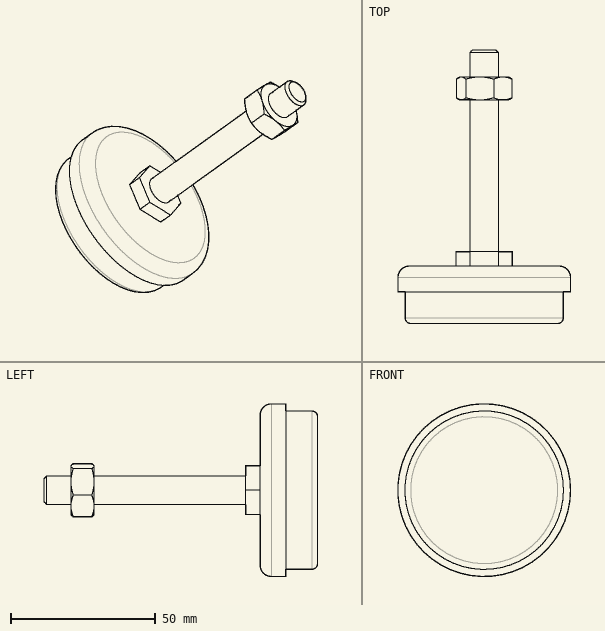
import cadquery as cq
import math


pad_diameter = 55.0
pad_height = 11.0
pad_edge_radius = 2.0
cap_diameter = 60.0
cap_height = 9.0
cap_edge_radius = 4.0
hexagon_height = 5.0
stud_diameter = 10.0
stud_length = 70.0
stud_chamfer = 1.0

across_flats = 17.0
nut_height = 8.0
nut_tip_distance = 9.42
nut_turn = 10.2
nut_chamfer_angle = 30.0

across_corners = across_flats / math.cos(math.radians(30))
cap_base = pad_height
hexagon_base = cap_base + cap_height
stud_base = hexagon_base + hexagon_height
stud_tip = stud_base + stud_length
nut_base = stud_tip - nut_tip_distance - nut_height


def plane_at(y):
    """Workplane at height y, facing +Y away from the floor."""
    return cq.Workplane(cq.Plane(origin=(0, y, 0), xDir=(1, 0, 0), normal=(0, 1, 0)))


def disc(base, diameter, height):
    return plane_at(base).circle(diameter / 2).extrude(height)


def hexagonal_prism(base, height):
    """Hexagon with two corners on the X axis."""
    return plane_at(base).polygon(6, across_corners).extrude(height)


def make_foot():
    pad = disc(0, pad_diameter, pad_height).faces("<Y").edges().fillet(pad_edge_radius)
    cap = disc(cap_base, cap_diameter, cap_height).faces(">Y").edges().fillet(cap_edge_radius)
    hexagon = hexagonal_prism(hexagon_base, hexagon_height)
    stud = disc(stud_base, stud_diameter, stud_length).faces(">Y").edges().chamfer(stud_chamfer)
    return pad.union(cap).union(hexagon).union(stud)


def make_nut():
    corner_overhang = (across_corners - across_flats) / 2
    chamfer_depth = corner_overhang * math.tan(math.radians(nut_chamfer_angle))
    corner_radius = across_corners / 2
    face_radius = across_flats / 2
    nut_top = nut_base + nut_height
    trimming_disc = (
        cq.Workplane("XY")
        .moveTo(0, nut_base)
        .lineTo(face_radius, nut_base)
        .lineTo(corner_radius, nut_base + chamfer_depth)
        .lineTo(corner_radius, nut_top - chamfer_depth)
        .lineTo(face_radius, nut_top)
        .lineTo(0, nut_top)
        .close()
        .revolve(360, (0, 0, 0), (0, 1, 0))
    )
    bore = disc(nut_base, stud_diameter, nut_height)
    nut = hexagonal_prism(nut_base, nut_height).intersect(trimming_disc).cut(bore)
    return nut.rotate((0, 0, 0), (0, -1, 0), nut_turn)


foot = make_foot()
nut = make_nut()
result = cq.Compound.makeCompound([foot.val(), nut.val()])